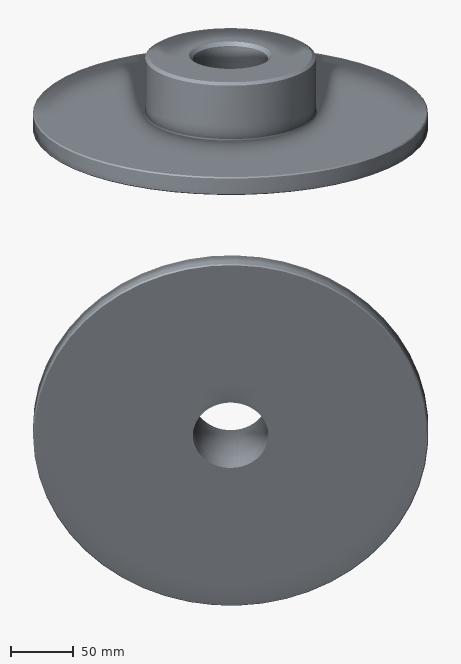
import cadquery as cq
disc_diameter = 315.0
disc_thickness = 15.0
total_height = 63.0
rim_chamfer = 1.0
hub_diameter = 136.0
hub_top_diameter = 130.0
hub_chamfer_height = 2.0
hub_base_diameter = 138.0
bore_diameter = 60.2
bore_chamfer = 2.8

coating_thickness = 1.0
coating_end_height = 38.0
core_disc_diameter = 309.3

disc_radius = disc_diameter / 2
hub_radius = hub_diameter / 2
hub_top_radius = hub_top_diameter / 2
hub_base_radius = hub_base_diameter / 2
bore_radius = bore_diameter / 2
hub_base_chamfer = hub_base_radius - hub_radius
core_disc_radius = core_disc_diameter / 2
core_disc_thickness = disc_thickness - coating_thickness
core_hub_radius = hub_radius - coating_thickness
core_height = total_height - coating_thickness
core_bore_radius = bore_radius + coating_thickness


def revolve_profile(points):
    """Turn a closed (radius, height) outline about the Z axis."""
    return cq.Workplane("XZ").polyline(points).close().revolve(360, (0, 0), (0, 1))


def make_envelope():
    """Outside shape of core and coating together, with its through bore."""
    return revolve_profile([
        (bore_radius, 0),
        (disc_radius - rim_chamfer, 0),
        (disc_radius, rim_chamfer),
        (disc_radius, disc_thickness - rim_chamfer),
        (disc_radius - rim_chamfer, disc_thickness),
        (hub_base_radius, disc_thickness),
        (hub_radius, disc_thickness + hub_base_chamfer),
        (hub_radius, total_height - hub_chamfer_height),
        (hub_top_radius, total_height),
        (bore_radius + bore_chamfer, total_height),
        (bore_radius, total_height - bore_chamfer),
    ])


def make_core():
    """Flanged hub whose bore is widened above the level where the coating stops."""
    return revolve_profile([
        (bore_radius, 0),
        (core_disc_radius, 0),
        (core_disc_radius, core_disc_thickness),
        (core_hub_radius, core_disc_thickness),
        (core_hub_radius, core_height - hub_chamfer_height),
        (hub_top_radius, core_height),
        (core_bore_radius + bore_chamfer, core_height),
        (core_bore_radius, core_height - bore_chamfer),
        (core_bore_radius, coating_end_height),
        (bore_radius, coating_end_height),
    ])


def make_coating(core):
    """Thin layer over the rim, disc top, hub and upper bore of the core."""
    return make_envelope().cut(core)


core = make_core()
coating = make_coating(core)
result = cq.Compound.makeCompound([core.val(), *coating.solids().vals()])